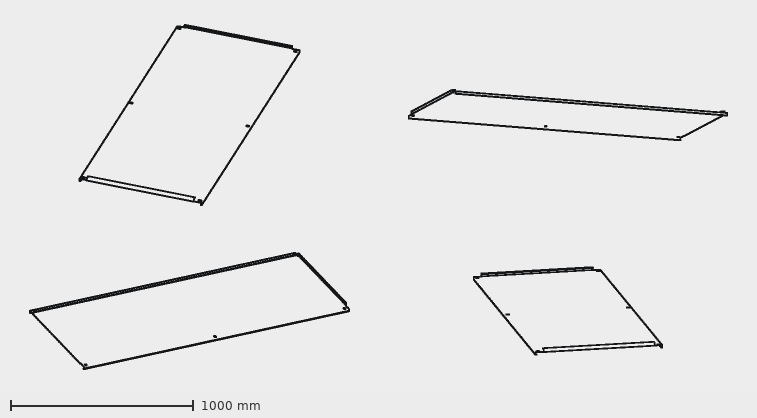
import cadquery as cq

WIDTH = 710.0
LENGTH = 1600.0
HEIGHT = 32.0
SHEET = 1.0
BEND_RADIUS = 3.0

PLATE_TOP = 15.0
CORNER_SETBACK = 3.0
END_FLANGE_LENGTH = 620.0
END_LIP = 20.0
FOOT = 6.0

SLOT_LENGTH = 16.0
SLOT_WIDTH = 8.0
SLOT_X = 338.0
SLOT_Y = 778.0

INNER_RADIUS = BEND_RADIUS - SHEET
PLATE_BOTTOM = PLATE_TOP - SHEET
PLATE_LENGTH = LENGTH - 2 * CORNER_SETBACK


def flange(plane, outer, top, bottom, reach, length):
    """Upright strip with a rounded bend into its top leg and a square inward foot."""
    bend_start = outer - BEND_RADIUS
    bend_end = top - BEND_RADIUS
    return (
        cq.Workplane(plane)
        .moveTo(outer - reach, top)
        .lineTo(bend_start, top)
        .radiusArc((outer, bend_end), BEND_RADIUS)
        .lineTo(outer, bottom)
        .lineTo(outer - FOOT, bottom)
        .lineTo(outer - FOOT, bottom + SHEET)
        .lineTo(outer - SHEET, bottom + SHEET)
        .lineTo(outer - SHEET, bend_end)
        .radiusArc((bend_start, top - SHEET), -INNER_RADIUS)
        .lineTo(outer - reach, top - SHEET)
        .close()
        .extrude(length / 2, both=True)
    )


panel = (
    cq.Workplane("XY", origin=(0, 0, PLATE_BOTTOM))
    .rect(WIDTH - 2 * BEND_RADIUS, PLATE_LENGTH)
    .extrude(SHEET)
)

side_flange = flange("XZ", WIDTH / 2, PLATE_TOP, 0, 2 * BEND_RADIUS, PLATE_LENGTH)
panel = panel.union(side_flange).union(side_flange.mirror("YZ"))

end_flange = flange("YZ", LENGTH / 2, HEIGHT, PLATE_BOTTOM, END_LIP, END_FLANGE_LENGTH)
panel = panel.union(end_flange).union(end_flange.mirror("XZ"))

slot_centers = [(x, y) for x in (-SLOT_X, SLOT_X) for y in (-SLOT_Y, 0, SLOT_Y)]
slots = (
    cq.Workplane("XY", origin=(0, 0, PLATE_BOTTOM))
    .pushPoints(slot_centers)
    .slot2D(SLOT_LENGTH, SLOT_WIDTH)
    .extrude(SHEET)
)

result = panel.cut(slots)